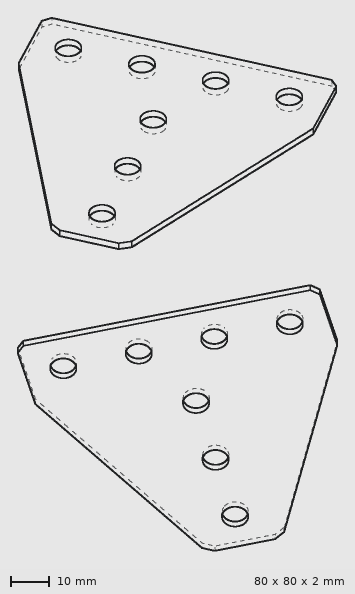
import cadquery as cq

side = 80.0
thickness = 2.0
half_side = side / 2
foot_half_width = side / 8
shoulder_y = side / 4
corner_chamfer = 2.0

hole_diameter = 6.7
hole_pitch = side / 4
row_y = half_side - hole_pitch / 2
row_count = 4
column_count = 3

row_points = [((i - (row_count - 1) / 2) * hole_pitch, row_y) for i in range(row_count)]
column_points = [(0, row_y - (i + 1) * hole_pitch) for i in range(column_count)]

outline = [
    (-half_side, half_side),
    (half_side, half_side),
    (half_side, shoulder_y),
    (foot_half_width, -half_side),
    (-foot_half_width, -half_side),
    (-half_side, shoulder_y),
]
plate = cq.Workplane("XY").polyline(outline).close().extrude(thickness)

wide_end_corners = plate.faces(">Y").edges("|Z")
foot_corners = plate.faces("<Y").edges("|Z")
plate = plate.newObject(wide_end_corners.vals() + foot_corners.vals()).chamfer(corner_chamfer)

holes = (
    cq.Workplane("XY")
    .pushPoints(row_points + column_points)
    .circle(hole_diameter / 2)
    .extrude(thickness)
)
result = plate.cut(holes)